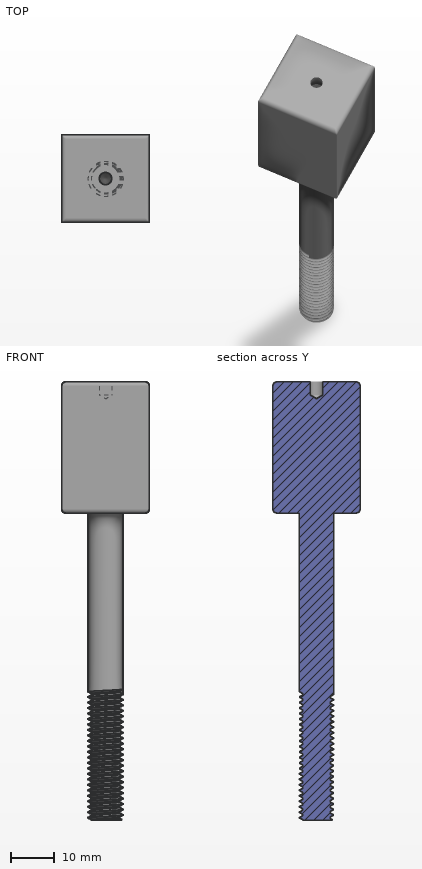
import cadquery as cq
import math

total_height = 100.0
head_width = 20.0
head_height = 30.0
head_rim_fillet = 1.0
head_side_fillet = 0.2
shank_diameter = 8.0
shank_end_chamfer = 0.5

thread_length = 30.0
thread_turns = 24
thread_pitch = thread_length / thread_turns
thread_depth = 0.77
crest_width = thread_pitch / 16
root_width = thread_pitch / 4
groove_overlap = 0.1

hole_diameter = 2.8
hole_depth = 3.0
drill_tip_angle = 118.0

shank_radius = shank_diameter / 2
shank_height = total_height - head_height


def make_head():
    """Square block with slightly eased upright edges and rounded top and bottom rims."""
    block = (
        cq.Workplane("XY")
        .workplane(offset=shank_height)
        .rect(head_width, head_width)
        .extrude(head_height)
    )
    block = block.edges("|Z").fillet(head_side_fillet)
    return block.faces("<Z or >Z").edges().fillet(head_rim_fillet)


def make_thread_groove():
    """Helical V groove that enters below the shank end and ends after whole turns."""
    start = -thread_pitch / 2
    root_radius = shank_radius - thread_depth
    mouth_radius = shank_radius + groove_overlap
    root_half = root_width / 2
    edge_half = (thread_pitch - crest_width) / 2
    flank_slope = (edge_half - root_half) / thread_depth
    mouth_half = edge_half + flank_slope * groove_overlap
    path = cq.Wire.makeHelix(thread_pitch, thread_length, shank_radius)
    profile = cq.Workplane("XZ").polyline(
        [
            (root_radius, -root_half),
            (mouth_radius, -mouth_half),
            (mouth_radius, mouth_half),
            (root_radius, root_half),
        ]
    ).close()
    groove = profile.sweep(cq.Workplane(path), isFrenet=True)
    return groove.translate((0, 0, start))


def make_centre_hole():
    """Blind drilled hole with a conical bottom."""
    hole_radius = hole_diameter / 2
    tip_height = hole_radius / math.tan(math.radians(drill_tip_angle / 2))
    floor = total_height - hole_depth
    return (
        cq.Workplane("XZ")
        .moveTo(0, floor - tip_height)
        .lineTo(hole_radius, floor)
        .lineTo(hole_radius, total_height)
        .lineTo(0, total_height)
        .close()
        .revolve(360, (0, 0), (0, 1))
    )


shank = cq.Workplane("XY").circle(shank_radius).extrude(shank_height)
shank = shank.faces("<Z").chamfer(shank_end_chamfer)
threaded_shank = shank.cut(make_thread_groove())
result = make_head().union(threaded_shank).cut(make_centre_hole())